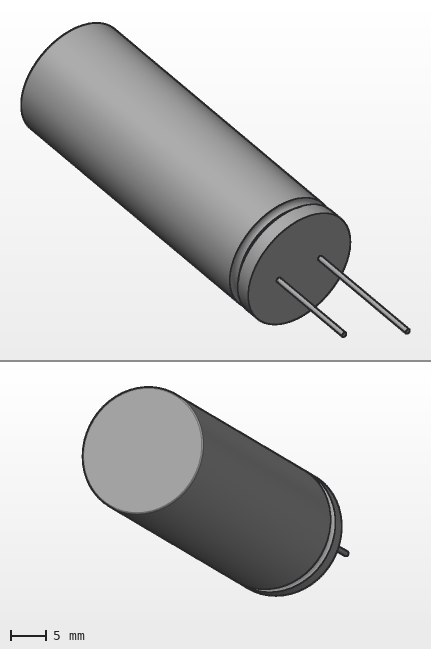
import cadquery as cq
import math

total_length = 72.0
diameter = 18.5
edge_fillet = 0.2

groove_width = 1.8
groove_to_end = 3.3

lead_diameter = 0.8
lead_pitch = 7.5
long_lead_length = 20.0
short_lead_length = 15.0

outer_radius = diameter / 2
groove_radius = groove_width / 2
groove_bottom = outer_radius - groove_radius
groove_diagonal = groove_radius * math.sqrt(0.5)
start_x = -total_length / 2
end_x = total_length / 2 - long_lead_length
groove_x = end_x - groove_to_end


def grooved_drum(flat_end_x):
    """Round drum from flat_end_x to the middle of the groove, with half of the groove on its rim."""
    side = math.copysign(1, flat_end_x - groove_x)
    return (
        cq.Workplane("XY")
        .moveTo(flat_end_x, 0)
        .lineTo(flat_end_x, outer_radius)
        .lineTo(groove_x + side * groove_radius, outer_radius)
        .threePointArc(
            (groove_x + side * groove_diagonal, outer_radius - groove_diagonal),
            (groove_x, groove_bottom),
        )
        .lineTo(groove_x, 0)
        .close()
        .revolve(360, (0, 0, 0), (1, 0, 0))
    )


def make_can():
    """Long can with a rounded -X rim; it ends at the bottom of the groove."""
    return grooved_drum(start_x).faces("<X").edges().fillet(edge_fillet)


def make_end_cap():
    """Short cap that meets the can at the bottom of the groove and carries the leads."""
    return grooved_drum(end_x)


def make_lead(y, length):
    """Straight round wire standing on the +X face of the end cap."""
    return cq.Workplane("YZ", origin=(end_x, y, 0)).circle(lead_diameter / 2).extrude(length)


can = make_can()
end_cap = make_end_cap()

lead_layout = [
    (lead_pitch / 2, long_lead_length),
    (-lead_pitch / 2, short_lead_length),
]
leads = [make_lead(y, length).val() for y, length in lead_layout]

result = cq.Compound.makeCompound([can.val(), end_cap.val(), *leads])